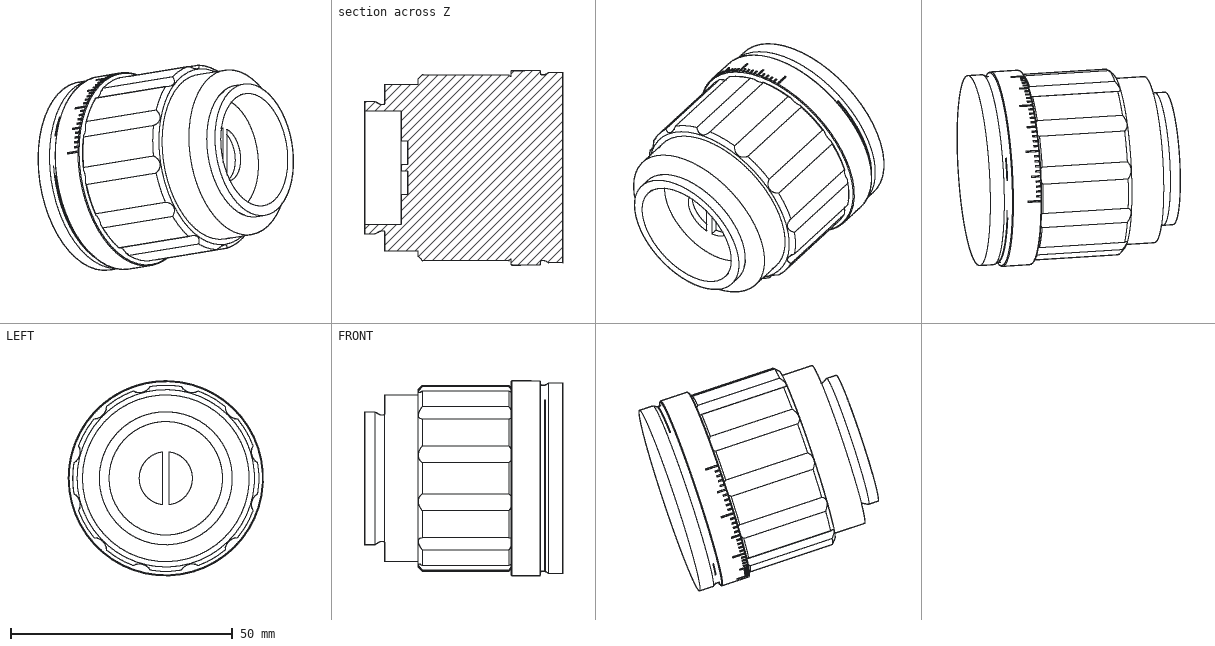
import cadquery as cq
import math

rim_chamfer_start = 2.3
neck_start = 3.5
collar_start = 4.5
grip_start = 12.0
ring_start = 33.0
ring_end = 39.7
flange_start = 40.65
flange_chamfer_end = 41.5
total_length = 44.7

rim_radius = 15.0
collar_radius = 18.8
grip_radius = 21.0
ring_radius = 22.0
flange_radius = 21.5

back_chamfer_slope = math.tan(math.radians(30))
grip_front_chamfer = 1.0
grip_rear_chamfer = 0.5
ring_chamfer = 0.2
neck_radius = rim_radius - (neck_start - rim_chamfer_start) * back_chamfer_slope
groove_radius = flange_radius - (flange_chamfer_end - flange_start) * back_chamfer_slope
square_corner_fillet = 0.2
obtuse_corner_fillet = 0.4

bore_radius = 12.8
bore_depth = 8.2
recess_radius = 6.0
recess_depth = 1.5
bar_width = 1.5

flute_count = 12
flute_first_angle = 15.0
flute_width = 3.9
flute_depth = 0.8
flute_cutter_radius = ((flute_width / 2) ** 2 + flute_depth**2) / (2 * flute_depth)

tick_step = 3
tick_last_angle = 90
medium_tick_angle = 15
long_tick_angle = 30
short_tick_length = 1.2
medium_tick_length = 2.2
long_tick_length = 3.1
tick_width = 0.3
tick_depth = 0.1


def cylinder_along_x(start, length, radius):
    return cq.Workplane("YZ").workplane(offset=start).circle(radius).extrude(length)


def turned_body():
    """Solid of revolution about X, before the bore, flutes and ticks."""
    profile = [
        (0, 0),
        (0, rim_radius),
        (rim_chamfer_start, rim_radius),
        (neck_start, neck_radius),
        (collar_start, neck_radius),
        (collar_start, collar_radius),
        (grip_start, collar_radius),
        (grip_start, grip_radius - grip_front_chamfer),
        (grip_start + grip_front_chamfer, grip_radius),
        (ring_start - grip_rear_chamfer, grip_radius),
        (ring_start, grip_radius - grip_rear_chamfer),
        (ring_start, ring_radius - ring_chamfer),
        (ring_start + ring_chamfer, ring_radius),
        (ring_end - ring_chamfer, ring_radius),
        (ring_end, ring_radius - ring_chamfer),
        (ring_end, groove_radius),
        (flange_start, groove_radius),
        (flange_chamfer_end, flange_radius),
        (total_length, flange_radius),
        (total_length, 0),
    ]
    return cq.Workplane("XY").polyline(profile).close().revolve(360, (0, 0, 0), (1, 0, 0))


def fillet_circle(body, station, radius, fillet_radius):
    """Round the circular edge of the given radius that lies at one station."""
    margin = 0.05
    reach = radius + margin
    selector = cq.selectors.BoxSelector(
        (station - margin, -reach, -reach), (station + margin, reach, reach), boundingbox=True
    )
    return body.edges(selector).fillet(fillet_radius)


def fillet_grooves(body):
    """Round the inner corners of the neck and of the groove behind the ring."""
    body = fillet_circle(body, neck_start, neck_radius, obtuse_corner_fillet)
    body = fillet_circle(body, collar_start, neck_radius, square_corner_fillet)
    body = fillet_circle(body, ring_end, groove_radius, square_corner_fillet)
    return fillet_circle(body, flange_start, groove_radius, obtuse_corner_fillet)


def eyepiece_bore():
    """Blind bore with a round recess in its floor, split by an upright bar."""
    bore = cylinder_along_x(0, bore_depth, bore_radius)
    recess = cylinder_along_x(bore_depth, recess_depth, recess_radius)
    bar = cq.Workplane("XY").box(recess_depth, bar_width, 2 * recess_radius, centered=(False, True, True))
    return bore.union(recess.cut(bar.translate((bore_depth, 0, 0))))


def turn_about_axis(body, angle):
    """Turn a body from +Z towards +Y by the given angle."""
    return body.rotate((0, 0, 0), (1, 0, 0), -angle)


def cut_flutes(body):
    """Scallop the grip with evenly spaced round-bottomed flutes."""
    chord_height = math.sqrt(grip_radius**2 - (flute_width / 2) ** 2)
    axis_height = chord_height - flute_depth + flute_cutter_radius
    cutter = cylinder_along_x(grip_start, ring_start - grip_start, flute_cutter_radius)
    cutter = cutter.translate((0, 0, axis_height))
    for index in range(flute_count):
        angle = flute_first_angle + index * 360 / flute_count
        body = body.cut(turn_about_axis(cutter, angle))
    return body


def tick_length(angle):
    if angle % long_tick_angle == 0:
        return long_tick_length
    if angle % medium_tick_angle == 0:
        return medium_tick_length
    return short_tick_length


def cut_ticks(body):
    """Engrave the graduation along the front edge of the ring."""
    for angle in range(0, tick_last_angle + 1, tick_step):
        tick = cq.Workplane("XY").box(
            tick_length(angle), tick_width, 2 * tick_depth, centered=(False, True, True)
        )
        tick = tick.translate((ring_start, 0, ring_radius))
        body = body.cut(turn_about_axis(tick, angle))
    return body


result = fillet_grooves(turned_body())
result = result.cut(eyepiece_bore())
result = cut_flutes(result)
result = cut_ticks(result)